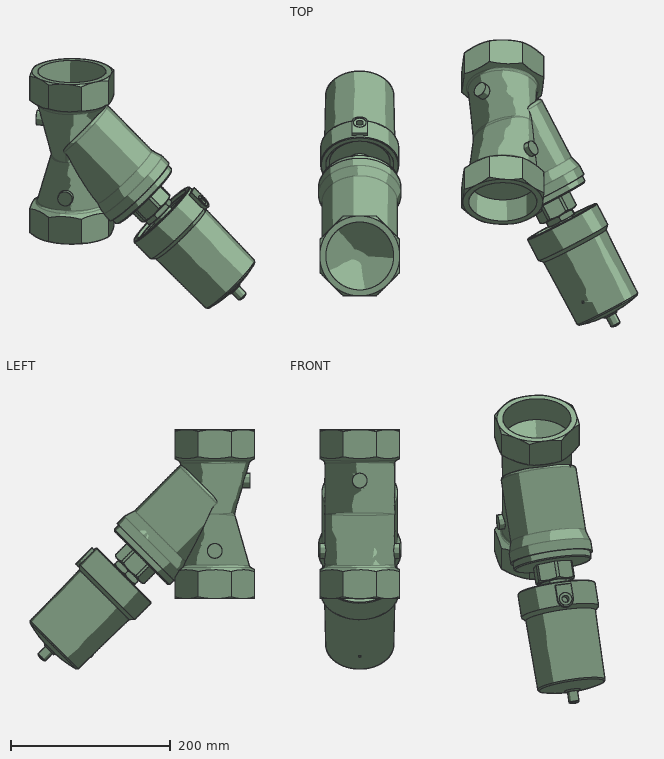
import cadquery as cq
import math

RUN_LENGTH = 211.45
OCTAGON_FLATS = 100.0
OCTAGON_LENGTH = 36.25
OCTAGON_CHAMFER_ANGLE = 30.0
PORT_DIAMETER = 85.0
PORT_DEPTH = 32.0
PORT_CONE_ANGLE = 118.0
NECK_RADIUS = 43.8
WAIST_HALF_DEPTH = 25.0
WAIST_FILLET = 6.0
NECK_FILLET = 4.0
EDGE_TOLERANCE = 0.1

PAD_DIAMETER = 18.5
FRONT_PAD_HEIGHT = 42.0
FRONT_PAD_FACE = 44.2
SIDE_PAD_HEIGHT = -46.0
SIDE_PAD_FACE = 50.0

BRANCH_ANGLE = 45.0
BRANCH_ORIGIN_HEIGHT = 37.4
BRANCH_RADIUS = 47.5
BRANCH_START = 11.5
BRANCH_START_ROUND = 3.8
COLLAR_RADIUS = 51.75
COLLAR_CONE_START = 94.4
COLLAR_START = 108.4
BRANCH_END = 121.2

FLANGE_RADIUS = 49.0
FLANGE_END = 130.3
FLANGE_CHAMFER = 1.5
GLAND_FLATS = 46.0
GLAND_CORNER_RADIUS = 25.5
GLAND_END = 152.3
GLAND_CHAMFER_LENGTH = 1.8
TUBE_DIAMETER = 29.0

NUT_FLATS = 36.0
NUT_END = 159.8
NUT_CHAMFER_ANGLE = 30.0
NUT_FACE_RADIUS = 18.6

HOUSING_START = 160.6
RIM_RADIUS = 49.0
RIM_CHAMFER = 1.0
RIM_END = 190.7
SHOULDER_END = 195.6
BARREL_BASE_RADIUS = 44.2
BARREL_TOP_RADIUS = 42.8
BARREL_END = 284.05
DOME_RADIUS = 41.3
DOME_START = 286.05
DOME_MIDDLE = (26.0, 289.6)
BEZEL_BASE_RADIUS = 10.0
BEZEL_BASE = 291.3
BEZEL_RADIUS = 8.4
BEZEL_END = 293.3
PIP_DIAMETER = 3.0
PIP_HEIGHT = 0.6
PIP_PLACE = 261.0

LUG_WIDTH = 20.0
LUG_START = 164.8
LUG_CENTRE = 183.6
LUG_FACE = 52.6
LUG_SPOTFACE_DIAMETER = 16.0
LUG_SPOTFACE_DEPTH = 0.5
LUG_HOLE_DIAMETER = 8.7
LUG_HOLE_DEPTH = 12.0

MOUTH_DIAMETER = 84.93
RING_INNER_RADIUS = 38.0
RING_FACE_DEPTH = 4.0
RING_THICKNESS = 2.0
RING_GAP = 20.0
PLATE_THICKNESS = 6.0

INDICATOR_DIAMETER = 13.0
INDICATOR_CHAMFER = 1.2
INDICATOR_END = 307.3
INDICATOR_TIP = 308.6
INDICATOR_SEAT_DEPTH = 8.0

RUN_HALF = RUN_LENGTH / 2
FLAT_RADIUS = OCTAGON_FLATS / 2
RING_BACK = HOUSING_START + RING_FACE_DEPTH + RING_THICKNESS
PLATE_BACK = RING_BACK + PLATE_THICKNESS
INDICATOR_SEAT = BEZEL_END - INDICATOR_SEAT_DEPTH

tilt = math.radians(BRANCH_ANGLE)
BRANCH_PLACE = cq.Location(
    cq.Plane(
        origin=(0, 0, BRANCH_ORIGIN_HEIGHT),
        xDir=(1, 0, 0),
        normal=(0, math.sin(tilt), -math.cos(tilt)),
    )
)


def on_branch(shape):
    """Move a shape modelled about the Z axis onto the inclined branch axis."""
    return cq.Workplane(shape.val().moved(BRANCH_PLACE))


def turned(points):
    """Revolve a closed (radius, height) outline about Z."""
    return cq.Workplane("XZ").polyline(points).close().revolve(360, (0, 0), (0, 1))


def rod(radius, start, end):
    return cq.Workplane("XY").workplane(offset=start).circle(radius).extrude(end - start)


def prism(sides, flats, start, end, turn):
    """Regular prism about Z, given its size across flats."""
    corner_diameter = flats / math.cos(math.pi / sides)
    plane = cq.Workplane("XY").workplane(offset=start).transformed(rotate=(0, 0, turn))
    return plane.polygon(sides, corner_diameter).extrude(end - start)


def run_end():
    """Upper octagon with chamfered corners, running down in a cone to the neck."""
    slope = math.tan(math.radians(OCTAGON_CHAMFER_ANGLE))
    outer = FLAT_RADIUS * 1.2
    spread = (outer - FLAT_RADIUS) * slope
    low_flat = RUN_HALF - OCTAGON_LENGTH
    neck_height = low_flat - (FLAT_RADIUS - NECK_RADIUS) * slope
    envelope = turned([
        (0, neck_height),
        (NECK_RADIUS, neck_height),
        (outer, low_flat + spread),
        (outer, RUN_HALF - spread),
        (FLAT_RADIUS, RUN_HALF),
        (0, RUN_HALF),
    ])
    octagon = prism(8, OCTAGON_FLATS, neck_height, RUN_HALF, 180 / 8)
    return octagon.intersect(envelope), neck_height


def neck(height):
    """Blend from the round neck to the oval waist at mid-length."""
    oval = cq.Workplane("XY").ellipse(NECK_RADIUS, WAIST_HALF_DEPTH)
    return oval.workplane(offset=height).circle(NECK_RADIUS).loft(ruled=True, combine=True)


def port():
    """Blind bore with a drill-point floor, in the upper end."""
    radius = PORT_DIAMETER / 2
    floor = RUN_HALF - PORT_DEPTH
    tip = floor - radius / math.tan(math.radians(PORT_CONE_ANGLE / 2))
    return turned([(0, tip), (radius, floor), (radius, RUN_HALF), (0, RUN_HALF)])


def branch():
    barrel = rod(BRANCH_RADIUS, BRANCH_START, BRANCH_END).faces("<Z").edges().fillet(BRANCH_START_ROUND)
    collar = turned([
        (0, COLLAR_CONE_START),
        (BRANCH_RADIUS, COLLAR_CONE_START),
        (COLLAR_RADIUS, COLLAR_START),
        (COLLAR_RADIUS, BRANCH_END),
        (0, BRANCH_END),
    ])
    return on_branch(barrel.union(collar))


def pads():
    radius = PAD_DIAMETER / 2
    front = cq.Workplane("XZ").center(0, FRONT_PAD_HEIGHT).circle(radius).extrude(FRONT_PAD_FACE)
    sides = (
        cq.Workplane("YZ").center(0, SIDE_PAD_HEIGHT).circle(radius).extrude(SIDE_PAD_FACE, both=True)
    )
    return front.union(sides)


def rounded_at(shape, height, radius):
    """Fillet the level edges found at the given height."""
    low_corner = (-FLAT_RADIUS, -FLAT_RADIUS, height - EDGE_TOLERANCE)
    high_corner = (FLAT_RADIUS, FLAT_RADIUS, height + EDGE_TOLERANCE)
    return shape.edges(cq.selectors.BoxSelector(low_corner, high_corner)).fillet(radius)


def make_valve_body():
    end, neck_height = run_end()
    upper_neck = neck(neck_height)
    run = upper_neck.union(upper_neck.mirror("XY"))
    run = rounded_at(run, 0, WAIST_FILLET)
    run = run.union(end).union(end.mirror("XY"))
    for height in (neck_height, -neck_height):
        run = rounded_at(run, height, NECK_FILLET)
    body = run.union(branch()).union(pads())
    return body.cut(port()).cut(port().mirror("XY"))


def make_bonnet():
    flange = rod(FLANGE_RADIUS, BRANCH_END, FLANGE_END).faces(">Z").chamfer(FLANGE_CHAMFER)
    chamfer_run = GLAND_CHAMFER_LENGTH * math.sqrt(3)
    gland = prism(6, GLAND_FLATS, FLANGE_END, GLAND_END, 180 / 6)
    gland = gland.intersect(turned([
        (0, FLANGE_END),
        (GLAND_CORNER_RADIUS, FLANGE_END),
        (GLAND_CORNER_RADIUS, GLAND_END - GLAND_CHAMFER_LENGTH),
        (GLAND_CORNER_RADIUS - chamfer_run, GLAND_END),
        (0, GLAND_END),
    ]))
    tube = rod(TUBE_DIAMETER / 2, GLAND_END, RING_BACK)
    return on_branch(flange.union(gland).union(tube))


def make_lock_nut():
    corner = NUT_FLATS / math.sqrt(3)
    drop = (corner - NUT_FACE_RADIUS) * math.tan(math.radians(NUT_CHAMFER_ANGLE))
    nut = prism(6, NUT_FLATS, GLAND_END, NUT_END, 0)
    nut = nut.intersect(turned([
        (0, GLAND_END),
        (NUT_FACE_RADIUS, GLAND_END),
        (corner, GLAND_END + drop),
        (corner, NUT_END - drop),
        (NUT_FACE_RADIUS, NUT_END),
        (0, NUT_END),
    ]))
    return on_branch(nut.cut(rod(TUBE_DIAMETER / 2, GLAND_END, NUT_END)))


def lug():
    """Flat lug with a rounded outer end, standing on the upper side of the rim."""
    start = cq.Workplane("XZ").center(0, (LUG_START + LUG_CENTRE) / 2)
    block = start.rect(LUG_WIDTH, LUG_CENTRE - LUG_START).extrude(LUG_FACE)
    round_end = cq.Workplane("XZ").center(0, LUG_CENTRE).circle(LUG_WIDTH / 2).extrude(LUG_FACE)
    return block.union(round_end)


def lug_hole():
    face = cq.Workplane("XZ", origin=(0, -LUG_FACE, LUG_CENTRE))
    spotface = face.circle(LUG_SPOTFACE_DIAMETER / 2).extrude(-LUG_SPOTFACE_DEPTH)
    return spotface.union(face.circle(LUG_HOLE_DIAMETER / 2).extrude(-LUG_HOLE_DEPTH))


def make_housing():
    shell = (
        cq.Workplane("XZ")
        .moveTo(0, HOUSING_START)
        .lineTo(RIM_RADIUS - RIM_CHAMFER, HOUSING_START)
        .lineTo(RIM_RADIUS, HOUSING_START + RIM_CHAMFER)
        .lineTo(RIM_RADIUS, RIM_END)
        .lineTo(BARREL_BASE_RADIUS, SHOULDER_END)
        .lineTo(BARREL_TOP_RADIUS, BARREL_END)
        .lineTo(DOME_RADIUS, DOME_START)
        .threePointArc(DOME_MIDDLE, (BEZEL_BASE_RADIUS, BEZEL_BASE))
        .lineTo(BEZEL_RADIUS, BEZEL_END)
        .lineTo(0, BEZEL_END)
        .close()
        .revolve(360, (0, 0), (0, 1))
    )
    taper = (BARREL_BASE_RADIUS - BARREL_TOP_RADIUS) / (BARREL_END - SHOULDER_END)
    pip_face = BARREL_BASE_RADIUS - taper * (PIP_PLACE - SHOULDER_END) + PIP_HEIGHT
    pip = cq.Workplane("XZ").center(0, PIP_PLACE).circle(PIP_DIAMETER / 2).extrude(-pip_face)
    housing = shell.union(lug()).union(pip)
    housing = housing.cut(lug_hole())
    housing = housing.cut(rod(MOUTH_DIAMETER / 2, HOUSING_START, PLATE_BACK))
    return on_branch(housing.cut(rod(INDICATOR_DIAMETER / 2, INDICATOR_SEAT, BEZEL_END)))


def make_end_plate():
    return on_branch(rod(MOUTH_DIAMETER / 2, RING_BACK, PLATE_BACK))


def make_retaining_ring():
    """Open ring resting on the end plate, with its gap on the upper side."""
    front = HOUSING_START + RING_FACE_DEPTH
    ring = rod(MOUTH_DIAMETER / 2, front, RING_BACK).cut(rod(RING_INNER_RADIUS, front, RING_BACK))
    gap = (
        cq.Workplane("XY", origin=(0, -MOUTH_DIAMETER / 2, front))
        .rect(RING_GAP, MOUTH_DIAMETER / 2)
        .extrude(RING_THICKNESS)
    )
    return on_branch(ring.cut(gap))


def make_indicator():
    radius = INDICATOR_DIAMETER / 2
    tip_radius = radius - INDICATOR_CHAMFER
    pin = (
        cq.Workplane("XZ")
        .moveTo(0, INDICATOR_SEAT)
        .lineTo(radius, INDICATOR_SEAT)
        .lineTo(radius, INDICATOR_END - INDICATOR_CHAMFER)
        .lineTo(tip_radius, INDICATOR_END)
        .lineTo(0, INDICATOR_TIP)
        .close()
        .revolve(360, (0, 0), (0, 1))
    )
    return on_branch(pin)


valve_body = make_valve_body()
bonnet = make_bonnet()
lock_nut = make_lock_nut()
housing = make_housing()
end_plate = make_end_plate()
retaining_ring = make_retaining_ring()
indicator = make_indicator()

result = cq.Compound.makeCompound([
    valve_body.val(),
    bonnet.val(),
    lock_nut.val(),
    housing.val(),
    end_plate.val(),
    retaining_ring.val(),
    indicator.val(),
])